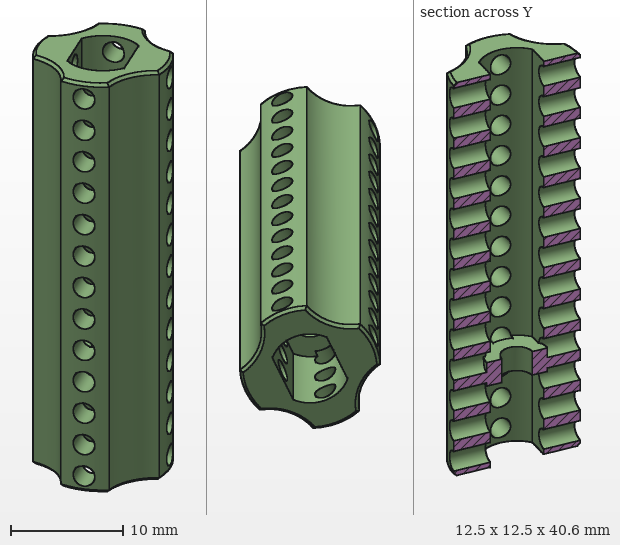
import cadquery as cq
import math

length = 40.6
body_diameter = 12.5
lobe_half_width = 2.25
scoop_floor_radius = 5.0
end_chamfer = 0.3

socket_diameter = 7.03
socket_width = 5.3
web_thickness = 2.48
web_core_diameter = 6.0
screw_hole_diameter = 3.0

holes_per_row = 13
hole_diameter = 2.0
holes_below_web_top = 3

body_radius = body_diameter / 2
hole_pitch = length / holes_per_row
first_hole_height = hole_pitch / 2
web_top = first_hole_height + holes_below_web_top * hole_pitch
web_bottom = web_top - web_thickness


def polar_point(radius, angle):
    """Point at a radius and an angle in radians around the axis."""
    return (radius * math.cos(angle), radius * math.sin(angle))


def lobed_body():
    """Round bar with four concave scoops between the lobes, chamfered at both ends."""
    quarter_turn = math.pi / 2
    lobe_half_angle = math.asin(lobe_half_width / body_radius)
    outline = cq.Workplane("XY").moveTo(*polar_point(body_radius, -lobe_half_angle))
    for lobe in range(4):
        lobe_angle = lobe * quarter_turn
        lobe_middle = polar_point(body_radius, lobe_angle)
        lobe_end = polar_point(body_radius, lobe_angle + lobe_half_angle)
        scoop_middle = polar_point(scoop_floor_radius, lobe_angle + quarter_turn / 2)
        next_lobe_start = polar_point(body_radius, lobe_angle + quarter_turn - lobe_half_angle)
        outline = outline.threePointArc(lobe_middle, lobe_end)
        outline = outline.threePointArc(scoop_middle, next_lobe_start)
    return outline.close().extrude(length).faces("<Z or >Z").chamfer(end_chamfer)


def cylinder(diameter, bottom, top):
    """Cylinder on the part axis between two heights."""
    return cq.Workplane("XY", origin=(0, 0, bottom)).circle(diameter / 2).extrude(top - bottom)


def socket(bottom, top):
    """Round bore with two flats facing along X."""
    base = cq.Workplane("XY", origin=(0, 0, bottom))
    flats = base.rect(socket_width, socket_diameter).extrude(top - bottom)
    return cylinder(socket_diameter, bottom, top).intersect(flats)


def cross_holes(plane):
    """One row of holes through the body along the plane normal, stopping at the web core."""
    centers = [(0, first_hole_height + index * hole_pitch) for index in range(holes_per_row)]
    hole_circles = cq.Workplane(plane).pushPoints(centers).circle(hole_diameter / 2)
    row = hole_circles.extrude(body_radius, both=True)
    return row.cut(cylinder(web_core_diameter, web_bottom, web_top))


result = (
    lobed_body()
    .cut(socket(web_top, length))
    .cut(socket(0, web_bottom))
    .cut(cylinder(screw_hole_diameter, web_bottom, web_top))
    .cut(cross_holes("XZ"))
    .cut(cross_holes("YZ"))
)